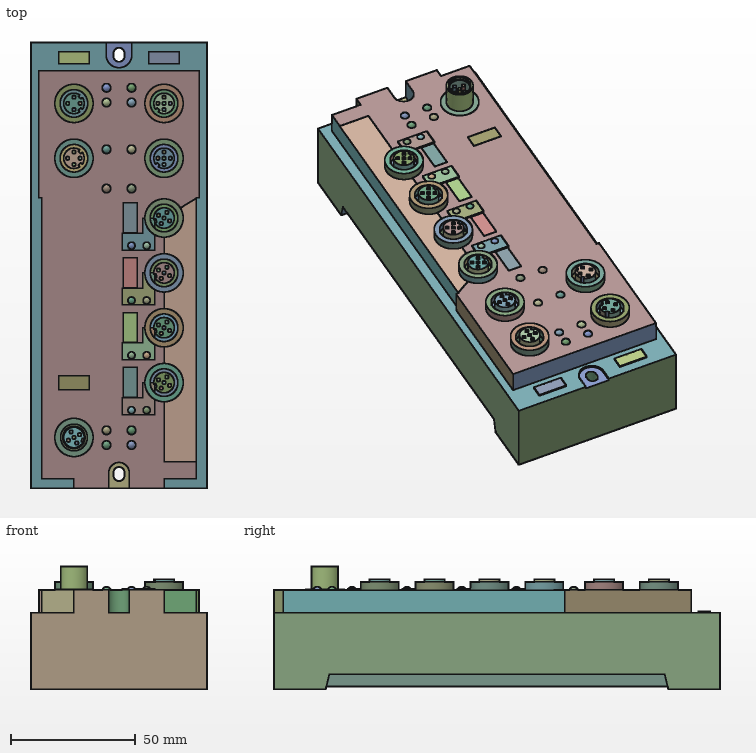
import cadquery as cq
import math

length = 178.5
width = 70.5
base_top = 30.7
cover_top = 39.8
sink = 0.7

foot_toe_y = 68.5
foot_root_y = 67.1
recess_height = 6.0
core_bottom = 1.0
side_recess_depth = 7.1

cover_back_y = 77.8
cover_step_y = 27.1
cover_wide_x = 32.04
cover_narrow_x = 30.9
cover_corner_y = -85.5

screw_slot_width = 4.3
screw_slot_length = 5.5
back_screw_y = 84.3
back_seat_radius = 5.2
back_seat_depth = 0.9
front_screw_y = -83.5
front_seat_y = -83.0
front_seat_radius = 4.1

column_x = 18.0
connector_pitch = 22.0
upper_row_y = 64.8
socket_row_y = 19.0
socket_count = 4
plug_y = -68.9
flange_radius = 7.7
flange_top = 43.0
bore_radius = 5.5
insert_radius = 4.1
insert_top = 44.1
contact_circle = 2.5
contact_radius = 0.7
contact_hole_depth = 0.5
key_width = 1.5
key_depth = 0.9
key_angle = 45.0
slant = math.degrees(math.atan2(1, 2))
socket_turn = 180 - slant
plug_turn = slant - 90
plug_radius = 5.4
plug_top = 49.3
plug_bore_radius = 4.1
plug_mouth_radius = 4.5
plug_mouth_depth = 1.0
plug_floor = cover_top + 1.8
plug_pin_top = 47.3

panel_depth = 0.2
panel_front_y = -78.5
panel_corner_y = 26.8

thin_plate = 0.2
thick_plate = 0.5
label_x = 18.0
label_width = 12.1
base_label_y = 83.0
base_label_length = 4.8
cover_label_y = -47.0
cover_label_length = 5.5

marker_left_x = 1.8
marker_right_x = 7.3
marker_top = 6.0
marker_bottom = -5.9
light_plate_left_x = 1.2
light_plate_inner_x = 9.5
light_plate_right_x = 14.3
light_plate_shoulder = -6.0
light_plate_bottom = -12.9

led_radius = 1.8
led_rise = 1.2
led_x = 5.0
led_rows_y = [71.0, 65.2, 46.4, 30.7, -66.0, -72.0]
socket_led_drop = 11.0
socket_led_gap = 6.0

socket_rows_y = [socket_row_y - i * connector_pitch for i in range(socket_count)]


def cylinder(radius, bottom, top):
    return cq.Workplane("XY").workplane(offset=bottom).circle(radius).extrude(top - bottom)


def box(x0, x1, y0, y1, bottom, top):
    block = cq.Workplane("XY").box(x1 - x0, y1 - y0, top - bottom, centered=False)
    return block.translate((x0, y0, bottom))


def prism(points, bottom, top):
    return cq.Workplane("XY").workplane(offset=bottom).polyline(points).close().extrude(top - bottom)


def place(shape, x, y, turn=0.0):
    return shape.rotate((0, 0, 0), (0, 0, 1), turn).translate((x, y, 0))


def base():
    block = box(-width / 2, width / 2, -length / 2, length / 2, 0, base_top)
    gap = (
        cq.Workplane("YZ")
        .polyline([
            (-foot_toe_y, 0),
            (-foot_root_y, recess_height),
            (foot_root_y, recess_height),
            (foot_toe_y, 0),
        ])
        .close()
        .extrude(width / 2, both=True)
    )
    core_x = width / 2 - side_recess_depth
    core = box(-core_x, core_x, -length / 2, length / 2, core_bottom, recess_height)
    return block.cut(gap.cut(core))


def cover():
    front_y = -length / 2
    right_side = [
        (cover_wide_x, cover_back_y),
        (cover_wide_x, cover_step_y),
        (cover_narrow_x, cover_step_y),
        (cover_narrow_x, cover_corner_y),
        (column_x, cover_corner_y),
        (column_x, front_y),
    ]
    left_side = [(-x, y) for x, y in reversed(right_side)]
    plate = prism(right_side + left_side, base_top - sink, cover_top)
    panel_outline = [
        (column_x, socket_row_y),
        (cover_narrow_x, panel_corner_y),
        (cover_narrow_x, panel_front_y),
        (column_x, panel_front_y),
    ]
    return plate.cut(prism(panel_outline, cover_top - panel_depth, cover_top))


def screw_seat(radius, seat_y, edge_y, bottom, top):
    """Round-ended pocket that runs from a screw out through the end face."""
    low_y, high_y = sorted((seat_y, edge_y))
    passage = box(-radius, radius, low_y, high_y, bottom, top)
    return passage.union(place(cylinder(radius, bottom, top), 0, seat_y))


def screw_slot(y):
    return (
        cq.Workplane("XY")
        .center(0, y)
        .slot2D(screw_slot_length, screw_slot_width, 90)
        .extrude(cover_top)
    )


def contacts(with_center, bottom, top):
    spots = [
        (contact_circle, 0),
        (0, contact_circle),
        (-contact_circle, 0),
        (0, -contact_circle),
    ]
    if with_center:
        spots.append((0, 0))
    return (
        cq.Workplane("XY")
        .workplane(offset=bottom)
        .pushPoints(spots)
        .circle(contact_radius)
        .extrude(top - bottom)
    )


def key(radius, angle, bottom, top):
    """Bar that reaches inwards from a circle at the given angle."""
    bar = box(radius - key_depth, radius + key_depth / 2, -key_width / 2, key_width / 2, bottom, top)
    return place(bar, 0, 0, angle)


def socket(with_center, key_angles):
    insert = cylinder(insert_radius, cover_top - sink, insert_top)
    insert = insert.cut(contacts(with_center, insert_top - contact_hole_depth, insert_top))
    for angle in key_angles:
        insert = insert.cut(key(insert_radius, angle, cover_top, insert_top))
    flange = cylinder(flange_radius, cover_top - sink, flange_top)
    return flange.cut(cylinder(bore_radius, cover_top, flange_top)).union(insert)


def plug():
    tube = cylinder(plug_radius, cover_top - sink, plug_top)
    tube = tube.cut(cylinder(plug_bore_radius, plug_floor, plug_top))
    tube = tube.cut(cylinder(plug_mouth_radius, plug_top - plug_mouth_depth, plug_top))
    rib = key(plug_bore_radius, key_angle, plug_floor - sink, plug_pin_top)
    pins = contacts(True, plug_floor - sink, plug_pin_top)
    flange = cylinder(flange_radius, cover_top - sink, cover_top + thin_plate)
    return flange.union(tube).union(rib).union(pins)


def label(x, y, plate_length, face, thickness):
    half_width = label_width / 2
    half_length = plate_length / 2
    plate = box(-half_width, half_width, -half_length, half_length, face - sink, face + thickness)
    return place(plate, x, y)


def marker_plate():
    bottom = cover_top - sink
    return box(marker_left_x, marker_right_x, marker_bottom, marker_top, bottom, cover_top + thin_plate)


def light_plate():
    outline = [
        (light_plate_inner_x, 0),
        (light_plate_inner_x, light_plate_shoulder),
        (light_plate_left_x, light_plate_shoulder),
        (light_plate_left_x, light_plate_bottom),
        (light_plate_right_x, light_plate_bottom),
        (light_plate_right_x, 0),
    ]
    return prism(outline, cover_top - sink, cover_top + thick_plate)


def led():
    """Ball set into the cover so that only a cap stands out."""
    ball = cq.Workplane("XY").sphere(led_radius).translate((0, 0, cover_top + led_rise - led_radius))
    return ball.intersect(cylinder(led_radius, cover_top - sink, cover_top + led_rise))


result = base().union(cover())
result = result.cut(
    screw_seat(back_seat_radius, back_screw_y, length / 2, base_top - back_seat_depth, base_top)
)
result = result.cut(screw_seat(front_seat_radius, front_seat_y, -length / 2, base_top, cover_top))
for screw_y in (back_screw_y, front_screw_y):
    result = result.cut(screw_slot(screw_y))

for side in (-1, 1):
    result = result.union(label(side * label_x, base_label_y, base_label_length, base_top, thick_plate))
result = result.union(label(-label_x, cover_label_y, cover_label_length, cover_top, thin_plate))

for row_y in socket_rows_y:
    result = result.union(place(marker_plate(), 0, row_y))
    result = result.union(place(light_plate(), 0, row_y))

four_way = socket(False, (key_angle, -key_angle))
five_way = socket(True, (key_angle,))
for row_y in (upper_row_y, upper_row_y - connector_pitch):
    result = result.union(place(four_way, -column_x, row_y))
    result = result.union(place(five_way, column_x, row_y, 180))
for row_y in socket_rows_y:
    result = result.union(place(five_way, column_x, row_y, socket_turn))
result = result.union(place(plug(), -column_x, plug_y, plug_turn))

led_spots = [(side * led_x, y) for y in led_rows_y for side in (-1, 1)]
for row_y in socket_rows_y:
    led_spots.append((led_x, row_y - socket_led_drop))
    led_spots.append((led_x + socket_led_gap, row_y - socket_led_drop))
for x, y in led_spots:
    result = result.union(place(led(), x, y))